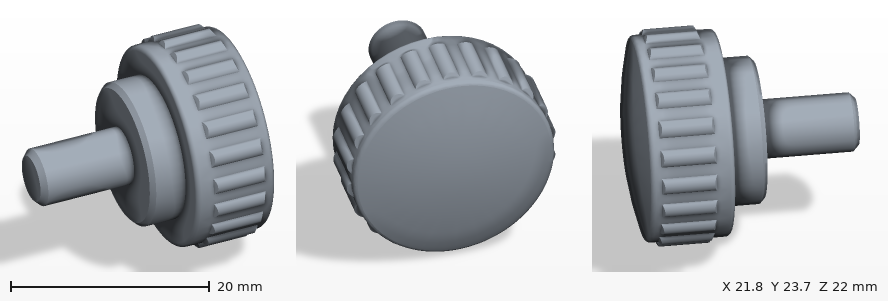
import cadquery as cq
import math

stud_radius = 3.0
stud_length = 10.0
stud_chamfer = 0.6

hub_radius = 7.5
hub_length = 3.7
hub_chamfer = 0.5

head_radius = 10.5
head_height = 10.0
dome_radius = 37.0
edge_fillet = 0.5

rib_count = 22
rib_radius = 1.0
rib_circle_radius = 10.0
rib_length = 5.65
rib_offset = 1.85
rib_chamfer_angle = 30.0

head_base = hub_length
head_top = head_base + head_height
dome_center = head_top - dome_radius
dome_edge = dome_center + math.sqrt(dome_radius**2 - head_radius**2)
rib_start = head_base + rib_offset
rib_end = rib_start + rib_length


def revolve_about_y(profile):
    """Turn a closed half profile, drawn as (radius, y), into a full solid about the Y axis."""
    return profile.close().revolve(360, (0, 0, 0), (0, 1, 0))


def make_stud():
    """Plain stud with a chamfered tip."""
    stud = cq.Workplane("XZ").circle(stud_radius).extrude(stud_length)
    return stud.faces("<Y").chamfer(stud_chamfer)


def make_hub():
    """Cylindrical hub with a chamfer around the seating face."""
    hub = cq.Workplane("XZ").circle(hub_radius).extrude(-hub_length)
    return hub.faces("<Y").chamfer(hub_chamfer)


def make_head():
    """Round head with a spherical dome and filleted edges at both ends."""
    mid_radius = head_radius / 2
    dome_mid = dome_center + math.sqrt(dome_radius**2 - mid_radius**2)
    profile = (
        cq.Workplane("XY")
        .moveTo(0, head_base)
        .lineTo(head_radius, head_base)
        .lineTo(head_radius, dome_edge)
        .threePointArc((mid_radius, dome_mid), (0, head_top))
    )
    return revolve_about_y(profile).edges("%CIRCLE").fillet(edge_fillet)


def make_ribs():
    """Ring of half-round grip ribs, the first at +Z, with their ends bevelled by cones."""
    rib_tip = rib_circle_radius + rib_radius
    bevel_depth = (rib_tip - head_radius) * math.tan(math.radians(rib_chamfer_angle))
    bevelled_ring = revolve_about_y(
        cq.Workplane("XY")
        .moveTo(0, rib_start)
        .lineTo(head_radius, rib_start)
        .lineTo(rib_tip, rib_start + bevel_depth)
        .lineTo(rib_tip, rib_end - bevel_depth)
        .lineTo(head_radius, rib_end)
        .lineTo(0, rib_end)
    )
    rods = (
        cq.Workplane("XZ", origin=(0, rib_start, 0))
        .polarArray(rib_circle_radius, 90, 360, rib_count)
        .circle(rib_radius)
        .extrude(-rib_length)
    )
    return rods.intersect(bevelled_ring)


result = make_head().union(make_hub()).union(make_stud()).union(make_ribs())